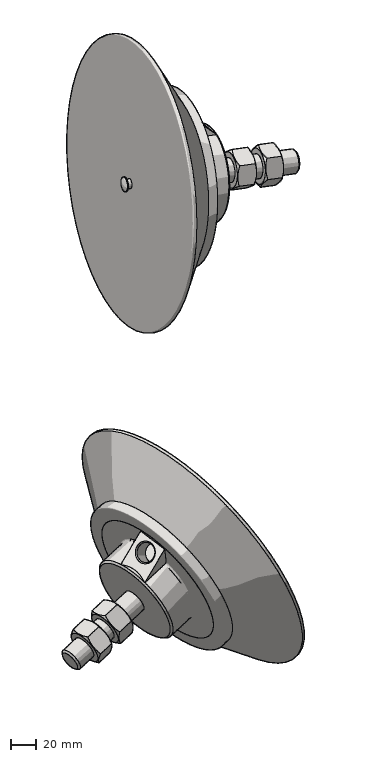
import cadquery as cq
import math


cup_radius = 239.18 / 2
rim_thickness = 3.0
rim_edge_round = 1.0
plate_radius = 147.0 / 2
plate_bottom = 34.7
plate_top = 42.95
plate_edge_round = 1.0
land_radius = 121.0 / 2
land_top = 43.05

hub_radius = 80.0 / 2
hub_top = 69.4
hub_chamfer = 1.6
hub_foot_round = 1.8

stud_radius = 20.0 / 2
stud_chamfer = 1.6
hexagon_sides = 6
nut_across_flats = 30.0
nut_corner_radius = nut_across_flats / math.sqrt(3)
nut_chamfer_angle = 30.0
nut_end_inset = 0.5
inner_nut_base = 87.1
inner_nut_height = 16.8
inner_nut_turn = 4.0
outer_nut_base = 111.5
outer_nut_height = 16.0
outer_nut_turn = -6.4

boss_turn = 5.4
boss_width = 26.2
boss_foot_reach = 57.6
boss_slope_angle = 38.3
port_radius = 16.0 / 2
port_chamfer = 1.0
port_depth = 15.0
port_height = 52.2

pin_radius = 8.1 / 2
pin_head_radius = 12.2 / 2
pin_head_start = 4.0
pin_head_edge = 0.9

overall_length = 151.02
pin_length = 6.6
stud_end = overall_length - pin_length


def revolve_about_y(outline):
    """Turn a closed (radius, Y) outline in the XY plane once round the Y axis."""
    return outline.close().revolve(360, (0, 0, 0), (0, 1, 0))


def turn_about_y(body, angle):
    """Turn a body about the part axis, carrying +Z towards +X for positive angles."""
    return body.rotate((0, 0, 0), (0, 1, 0), angle)


def make_cup_and_hub():
    corner = 1 - math.sqrt(0.5)
    rim_mid = rim_edge_round * corner
    plate_mid = plate_edge_round * corner
    foot_mid = hub_foot_round * corner
    outline = (
        cq.Workplane("XY")
        .lineTo(cup_radius - rim_edge_round, 0)
        .threePointArc((cup_radius - rim_mid, rim_mid), (cup_radius, rim_edge_round))
        .lineTo(cup_radius, rim_thickness)
        .lineTo(plate_radius, plate_bottom)
        .lineTo(plate_radius, plate_top - plate_edge_round)
        .threePointArc(
            (plate_radius - plate_mid, plate_top - plate_mid),
            (plate_radius - plate_edge_round, plate_top),
        )
        .lineTo(land_radius, plate_top)
        .lineTo(land_radius, land_top)
        .lineTo(hub_radius + hub_foot_round, land_top)
        .threePointArc(
            (hub_radius + foot_mid, land_top + foot_mid),
            (hub_radius, land_top + hub_foot_round),
        )
        .lineTo(hub_radius, hub_top - hub_chamfer)
        .lineTo(hub_radius - hub_chamfer, hub_top)
        .lineTo(0, hub_top)
    )
    return revolve_about_y(outline)


def make_stud():
    outline = (
        cq.Workplane("XY")
        .moveTo(0, plate_top)
        .lineTo(stud_radius, plate_top)
        .lineTo(stud_radius, stud_end - stud_chamfer)
        .lineTo(stud_radius - stud_chamfer, stud_end)
        .lineTo(0, stud_end)
    )
    return revolve_about_y(outline)


def make_nut(base, height, turn):
    """Hexagon nut with a corner on +Z before turning, and cone-chamfered ends."""
    corners = [
        (
            nut_corner_radius * math.sin(math.tau * i / hexagon_sides),
            nut_corner_radius * math.cos(math.tau * i / hexagon_sides),
        )
        for i in range(hexagon_sides)
    ]
    hexagon = (
        cq.Workplane("XZ", origin=(0, base, 0))
        .polyline(corners)
        .close()
        .extrude(-height)
    )
    flat_radius = nut_across_flats / 2 - nut_end_inset
    drop = (nut_corner_radius - flat_radius) * math.tan(math.radians(nut_chamfer_angle))
    envelope = revolve_about_y(
        cq.Workplane("XY")
        .moveTo(0, base)
        .lineTo(flat_radius, base)
        .lineTo(nut_corner_radius, base + drop)
        .lineTo(nut_corner_radius, base + height - drop)
        .lineTo(flat_radius, base + height)
        .lineTo(0, base + height)
    )
    return turn_about_y(hexagon.intersect(envelope), turn)


def boss_reach(height):
    """Distance of the boss's sloping face from the part axis at a given Y."""
    return boss_foot_reach - (height - land_top) * math.tan(math.radians(boss_slope_angle))


def make_boss():
    """Wedge from the part axis out to the sloping face, set into the hub."""
    slope_top = hub_top - hub_chamfer
    profile = [
        (plate_top, 0),
        (plate_top, boss_reach(plate_top)),
        (slope_top, boss_reach(slope_top)),
        (slope_top, 0),
    ]
    wedge = cq.Workplane("YZ").polyline(profile).close().extrude(boss_width / 2, both=True)
    return turn_about_y(wedge, boss_turn)


def make_port():
    """Blind port with a chamfered mouth, square to the boss's sloping face."""
    outline = (
        cq.Workplane("XY")
        .lineTo(port_radius + port_chamfer, 0)
        .lineTo(port_radius, -port_chamfer)
        .lineTo(port_radius, -port_depth)
        .lineTo(0, -port_depth)
    )
    bore = revolve_about_y(outline).rotate((0, 0, 0), (1, 0, 0), 90 - boss_slope_angle)
    return turn_about_y(bore.translate((0, port_height, boss_reach(port_height))), boss_turn)


def make_pin():
    """Headed pin below the suction face, with a shallow domed head."""
    edge = -(pin_head_start + pin_head_edge)
    dome_height = pin_length - pin_head_start - pin_head_edge
    dome_radius = (pin_head_radius**2 + dome_height**2) / (2 * dome_height)
    middle = pin_head_radius / 2
    middle_sag = dome_radius - math.sqrt(dome_radius**2 - middle**2)
    outline = (
        cq.Workplane("XY")
        .lineTo(0, -pin_length)
        .threePointArc((middle, middle_sag - pin_length), (pin_head_radius, edge))
        .lineTo(pin_head_radius, -pin_head_start)
        .lineTo(pin_radius, -pin_head_start)
        .lineTo(pin_radius, 0)
    )
    return revolve_about_y(outline)


result = make_cup_and_hub()
result = result.union(make_boss())
result = result.cut(make_port())
result = result.union(make_stud())
result = result.union(make_nut(inner_nut_base, inner_nut_height, inner_nut_turn))
result = result.union(make_nut(outer_nut_base, outer_nut_height, outer_nut_turn))
result = result.union(make_pin())